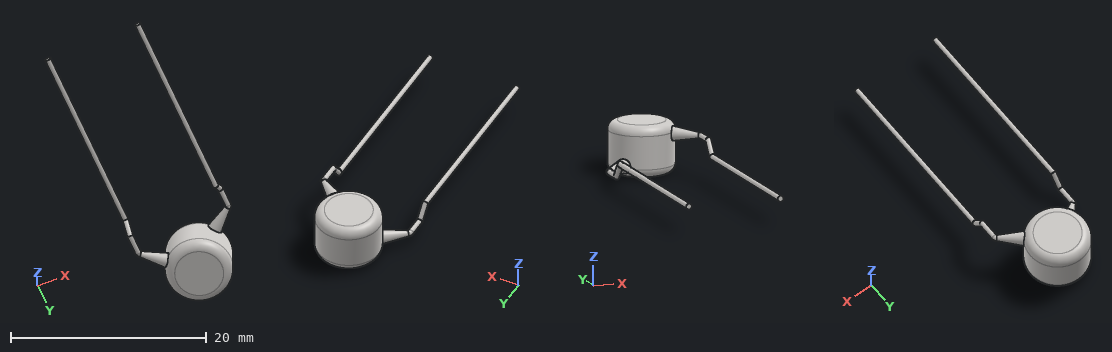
import cadquery as cq
import math

body_diameter = 7.0
body_height = 5.5
body_edge_radius = 1.0

wire_diameter = 0.65
wire_radius = wire_diameter / 2
lead_spacing = 10.0
lead_exit_height = 1.5
lead_corner_y = -3.92
lead_bend_radius = 0.35
kink_start_y = -6.1
kink_end_y = -7.3
lead_end_y = -27.3

sleeve_tip_radius = wire_radius
sleeve_root_radius = 0.85
sleeve_root_distance = 3.0

corner_distance = math.hypot(lead_spacing / 2, lead_corner_y)
turn_angle = math.atan2(lead_spacing / 2, -lead_corner_y)
bend_setback = lead_bend_radius * math.tan(turn_angle / 2)
bend_corner_gap = lead_bend_radius * (1 / math.cos(turn_angle / 2) - 1)


def make_body():
    return (
        cq.Workplane("XY", origin=(0, 0, -body_height / 2))
        .circle(body_diameter / 2)
        .extrude(body_height)
        .edges("%CIRCLE")
        .fillet(body_edge_radius)
    )


def lead_corner(side):
    """Corner of a lead; side is +1 for the upper right lead, -1 for the lower left one."""
    return cq.Vector(side * lead_spacing / 2, lead_corner_y, side * lead_exit_height)


def inward_direction(side):
    """Unit vector from a lead's corner towards the body axis."""
    return cq.Vector(-side * lead_spacing / 2, -lead_corner_y, 0).normalized()


def sleeve_tip(side):
    """Centre of the sleeve's narrow end, where the lead's bend starts."""
    return lead_corner(side) + inward_direction(side) * bend_setback


def make_sleeve(side, body):
    """Cone that narrows from the body wall to the wire, trimmed to fit the body."""
    length = corner_distance - bend_setback - sleeve_root_distance
    cone = cq.Solid.makeCone(
        sleeve_tip_radius, sleeve_root_radius, length, sleeve_tip(side), inward_direction(side)
    )
    return cq.Workplane(obj=cone).cut(body)


def make_lead(side):
    """Wire with a round bend at the sleeve tip and two mitred kinks down to the mid-plane."""
    x = side * lead_spacing / 2
    z = side * lead_exit_height
    inward = inward_direction(side)
    along_lead = cq.Vector(0, -1, 0)
    tip = sleeve_tip(side)
    bend_middle = lead_corner(side) + (inward + along_lead).normalized() * bend_corner_gap
    bend_end = lead_corner(side) + along_lead * bend_setback

    kink_start = cq.Vector(x, kink_start_y, z)
    kink_end = cq.Vector(x, kink_end_y, 0)
    free_end = cq.Vector(x, lead_end_y, 0)
    path = cq.Wire.assembleEdges([
        cq.Edge.makeThreePointArc(tip, bend_middle, bend_end),
        cq.Edge.makeLine(bend_end, kink_start),
        cq.Edge.makeLine(kink_start, kink_end),
        cq.Edge.makeLine(kink_end, free_end),
    ])
    start = cq.Plane(tip, xDir=(0, 0, 1), normal=inward * -1)
    return cq.Workplane(start).circle(wire_radius).sweep(path, transition="right")


body = make_body()
sides = (1, -1)
sleeves = [make_sleeve(side, body) for side in sides]
leads = [make_lead(side) for side in sides]

result = cq.Compound.makeCompound(
    [body.val()]
    + [sleeve.val() for sleeve in sleeves]
    + [lead.val() for lead in leads]
)